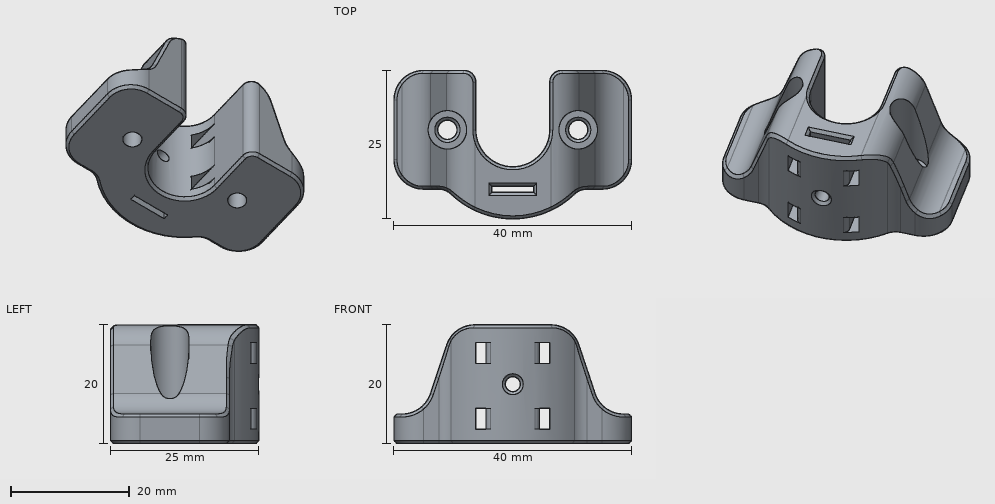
import cadquery as cq
import math

length = 40.0
height = 20.0
wing_reach = 10.0
edge_chamfer = 0.5

wing_corner_radius = 5.0
nose_radius = 15.0
nose_blend_radius = 3.0
bore_radius = 6.2
bore_mouth_radius = 2.0

crown_half_width = 10.0
slope_foot_half_width = 15.0
flange_height = 5.0
slope_blend_radius = 5.0

screw_spacing = 22.0
screw_hole_diameter = 3.2
screw_head_diameter = 6.5
screw_seat_height = flange_height

strap_slot_length = 7.0
strap_slot_width = 1.0
strap_slot_y = -10.0

nose_hole_diameter = 2.5

window_inner_x = 4.5
window_height = 3.5
window_sills = (2.45, 13.5)
window_round_radius = 1.0


def make_plan_prism():
    """Wings and round nose, with the bore open towards +Y."""
    wings = (
        cq.Workplane("XY")
        .rect(length, 2 * wing_reach)
        .extrude(height)
        .edges("|Z")
        .fillet(wing_corner_radius)
    )
    nose = cq.Workplane("XY").circle(nose_radius).extrude(height)
    nose = nose.intersect(
        cq.Workplane("XY")
        .center(0, -nose_radius / 2)
        .rect(length, nose_radius)
        .extrude(height)
    )
    prism = wings.union(nose)

    corner_x = math.sqrt(nose_radius**2 - wing_reach**2)
    for side in (-1, 1):
        corner = (side * corner_x, -wing_reach, height / 2)
        prism = prism.edges(cq.selectors.NearestToPointSelector(corner)).fillet(nose_blend_radius)

    bore = (
        cq.Workplane("XY")
        .circle(bore_radius)
        .extrude(height)
        .union(
            cq.Workplane("XY")
            .center(0, wing_reach / 2)
            .rect(2 * bore_radius, wing_reach)
            .extrude(height)
        )
    )
    prism = prism.cut(bore)
    for side in (-1, 1):
        corner = (side * bore_radius, wing_reach, height / 2)
        prism = prism.edges(cq.selectors.NearestToPointSelector(corner)).fillet(bore_mouth_radius)
    return prism


def make_profile_bar():
    """Bell-shaped front profile, extruded through the whole depth."""
    right_half = [
        (crown_half_width, height),
        (slope_foot_half_width, flange_height),
        (length / 2, flange_height),
        (length / 2, 0),
    ]
    left_half = [(-x, z) for x, z in reversed(right_half)]
    bar = (
        cq.Workplane("XZ")
        .polyline(right_half + left_half)
        .close()
        .extrude(nose_radius, both=True)
    )
    for side in (-1, 1):
        for x, z in right_half[:2]:
            bend = (side * x, 0, z)
            bar = bar.edges(cq.selectors.NearestToPointSelector(bend)).fillet(slope_blend_radius)
    return bar


def is_rim_edge(edge):
    """True for edges where a wall meets the top or the base."""
    tolerance = 0.005
    box = edge.BoundingBox()
    if box.xlen > tolerance:
        return True
    if box.ylen < tolerance:
        return False
    wall_positions = (bore_radius, length / 2)
    return any(abs(abs(box.center.x) - wall) < tolerance for wall in wall_positions)


def make_body():
    body = make_plan_prism().intersect(make_profile_bar())
    rim = [edge for edge in body.edges().vals() if is_rim_edge(edge)]
    return body.newObject(rim).chamfer(edge_chamfer)


def cut_screw_holes(body):
    """Flat-bottomed head recesses with a chamfered through hole below."""
    for side in (-1, 1):
        x = side * screw_spacing / 2
        head = (
            cq.Workplane("XY", origin=(x, 0, screw_seat_height))
            .circle(screw_head_diameter / 2)
            .extrude(height)
        )
        hole = cq.Workplane("XY", origin=(x, 0, 0)).circle(screw_hole_diameter / 2).extrude(height)
        body = body.cut(head).cut(hole)
        hole_rim = cq.selectors.NearestToPointSelector((x, 0, screw_seat_height))
        body = body.edges(hole_rim).chamfer(edge_chamfer)
    return body


def cut_nose_hole(body):
    """Horizontal hole from the nose face into the bore, chamfered at the nose face."""
    hole = (
        cq.Workplane("XZ", origin=(0, 0, height / 2))
        .circle(nose_hole_diameter / 2)
        .extrude(nose_radius)
    )
    body = body.cut(hole)
    hole_rim = cq.selectors.NearestToPointSelector((0, -nose_radius, height / 2))
    return body.edges(hole_rim).chamfer(edge_chamfer)


def cut_strap_slot(body):
    slot = cq.Workplane("XY").center(0, strap_slot_y).rect(strap_slot_length, strap_slot_width)
    slot = slot.extrude(height)
    flare = (
        cq.Workplane("XY", origin=(0, strap_slot_y, height - edge_chamfer))
        .rect(strap_slot_length, strap_slot_width)
        .workplane(offset=edge_chamfer)
        .rect(strap_slot_length + 2 * edge_chamfer, strap_slot_width + 2 * edge_chamfer)
        .loft()
    )
    return body.cut(slot).cut(flare)


def cut_tie_windows(body):
    """Straight windows into the bore; the edge next to the middle is rounded."""
    round_x = window_inner_x - window_round_radius
    round_y = -math.sqrt((nose_radius - window_round_radius) ** 2 - round_x**2)
    touch_scale = nose_radius / (nose_radius - window_round_radius)
    touch = (round_x * touch_scale, round_y * touch_scale)
    middle_angle = math.atan2(round_y, round_x) / 2
    middle = (
        round_x + window_round_radius * math.cos(middle_angle),
        round_y + window_round_radius * math.sin(middle_angle),
    )
    for sill in window_sills:
        window = (
            cq.Workplane("XY", origin=(0, 0, sill))
            .moveTo(window_inner_x, 0)
            .lineTo(window_inner_x, round_y)
            .threePointArc(middle, touch)
            .lineTo(touch[0], -nose_radius)
            .lineTo(bore_radius, -nose_radius)
            .lineTo(bore_radius, 0)
            .close()
            .extrude(window_height)
        )
        body = body.cut(window).cut(window.mirror("YZ"))
    return body


body = make_body()
body = cut_screw_holes(body)
body = cut_nose_hole(body)
body = cut_strap_slot(body)
result = cut_tie_windows(body)